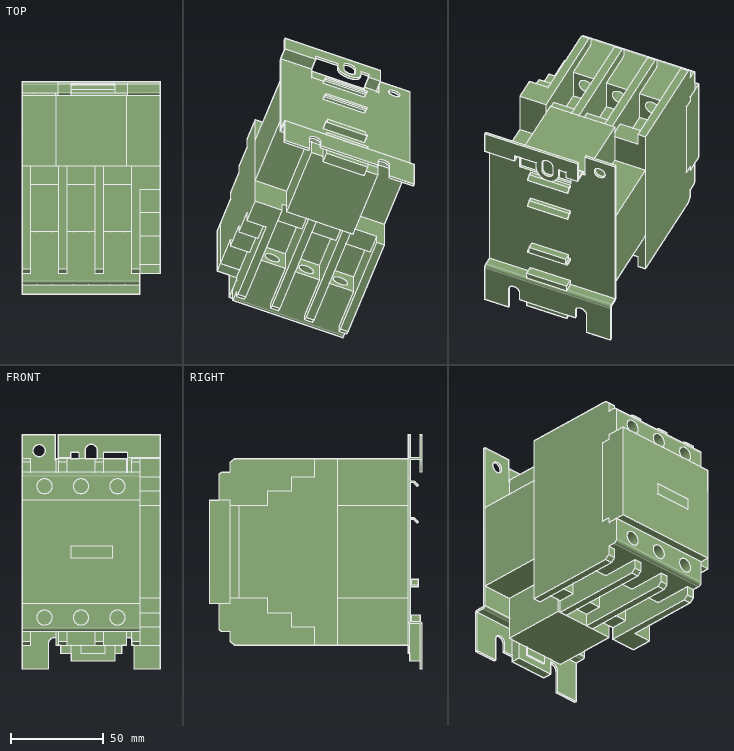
import cadquery as cq
import math


width = 74.93
depth = 115.32
height = 127.0
top = height / 2
mid_x = width / 2

sheet = 1.27
plate_front = 7.62
plate_back = plate_front - sheet
bend_radius = 1.6
step_top = 51.3
arm_width = 18.0
arm_slit = 1.5
arm_hole_x = 9.2
arm_hole_z = 54.9
slot_width = 6.5
arm_hole_diameter = slot_width
window_left = 26.4
window_right = 57.0
window_top = 54.0
window_floor = 40.0
tab_radius = 6.7
tab_center_z = 49.9
tab_slot_top = 58.3
lower_step_top = -37.6
leg_width = 14.3
leg_slot_top = -46.5
finger_bottom = -55.1

clip_left = 26.5
clip_right = 50.4
clip_front = 6.75
clip_bottom = -59.2
tongue_left = 31.9
tongue_right = 44.9
hook_back = 2.0
hook_sheet = 1.0
hook_bend = 4.3
hook_tops = (38.5, 18.6)
ledge_bottom = -18.9
ledge_pad_height = 3.1
ledge_pad_inset = 1.0
step_pad_height = 3.5
pad_front = 5.8
step_pad_back = 1.0

body_half_height = 50.6
base_front = 45.8
base_half_height = 25.1
base_core_width = 38.4

pole_width = 63.8
rib_count = 4
rib_width = 4.5
rib_front = 104.14
rib_chamfer_depth = 2.5
rib_chamfer_height = 2.0
terminal_half_height = 43.2
terminal_front = 110.2
terminal_fillet = 2.0
well_back = 55.9
well_front = 81.3
well_half_height = base_half_height
screw_diameter = 8.2
screw_z = 35.6
side_steps = ((body_half_height, 58.4), (40.6, 70.9), (33.1, 83.8))

cover_half_height = 28.1
cover_flange_back = 99.2
indicator_left = 26.4
indicator_right = 48.9
indicator_bottom = -3.3
indicator_top = 3.2


def block(x_range, depth_range, z_range):
    """Box between two X values, two depths and two Z values."""
    x0, x1 = x_range
    d0, d1 = depth_range
    z0, z1 = z_range
    return cq.Workplane("XY").box(x1 - x0, d1 - d0, z1 - z0, centered=False).translate((x0, -d1, z0))


def symmetric_block(x_range, depth_range, half_height):
    """Box centred on Z = 0."""
    return block(x_range, depth_range, (-half_height, half_height))


def cylinder(x, z, diameter, depth_range):
    """Cylinder along the depth direction."""
    d0, d1 = depth_range
    return cq.Workplane("XZ", origin=(x, -d0, z)).circle(diameter / 2).extrude(d1 - d0)


def side_profile(points, x_range):
    """Outline of (depth, Z) points extruded along X."""
    x0, x1 = x_range
    outline = [(-d, z) for d, z in points]
    return cq.Workplane("YZ", origin=(x0, 0, 0)).polyline(outline).close().extrude(x1 - x0)


def vertical_slot(x, z_bottom_center, z_top_center, slot_size, depth_range):
    """Slot with full-round ends, standing along Z."""
    radius = slot_size / 2
    slot = block((x - radius, x + radius), depth_range, (z_bottom_center, z_top_center))
    for z in (z_bottom_center, z_top_center):
        slot = slot.union(cylinder(x, z, slot_size, depth_range))
    return slot


def make_hook(z_top):
    """Tab that leaves the plate backwards and turns down at 45 degrees."""
    fall = hook_bend - hook_back
    lip = hook_sheet * math.sin(math.radians(45))
    points = [
        (plate_back, z_top),
        (hook_bend, z_top),
        (hook_back, z_top - fall),
        (hook_back + lip, z_top - fall - lip),
        (hook_bend + hook_sheet - lip, z_top - hook_sheet),
        (plate_back, z_top - hook_sheet),
    ]
    return side_profile(points, (clip_left, clip_right))


def make_upper_plate():
    """Rear flange, hanging tab, and the step that joins it to the front plane."""
    right_of_slit = (arm_width + arm_slit, width)
    step_bottom = step_top - sheet
    full_sheet = (0, sheet)

    step = block(right_of_slit, (0, plate_front), (step_bottom, step_top))
    step = step.union(block(right_of_slit, (plate_back, plate_front), (lower_step_top, step_top)))
    step = step.edges("|X and >Z and <Y").fillet(bend_radius)
    step = step.union(block(right_of_slit, full_sheet, (step_bottom, top)))

    step = step.cut(block((window_left, window_right), (0, plate_front), (window_floor, window_top)))

    tab = block((mid_x - tab_radius, mid_x + tab_radius), full_sheet, (tab_center_z, window_top))
    tab = tab.union(cylinder(mid_x, tab_center_z, 2 * tab_radius, full_sheet))
    slot_top_center = tab_slot_top - slot_width / 2
    slot = vertical_slot(mid_x, tab_center_z, slot_top_center, slot_width, full_sheet)
    return step.union(tab).cut(slot)


def make_arm():
    """Upright ear on the left, joined to the front plane below the slit."""
    arm = block((0, arm_width), (plate_back, plate_front), (lower_step_top, top))
    arm = arm.cut(cylinder(arm_hole_x, arm_hole_z, arm_hole_diameter, (plate_back, plate_front)))
    slit_bottom = step_top - bend_radius
    bridge = block((0, arm_width + arm_slit), (plate_back, plate_front), (lower_step_top, slit_bottom))
    return arm.union(bridge)


def make_lower_plate():
    """Lower step and the rear flange with its two slotted legs."""
    step = block((0, width), (0, plate_front), (lower_step_top - sheet, lower_step_top))
    flange = block((0, width), (0, sheet), (-top, lower_step_top))
    strip_z = (lower_step_top, lower_step_top + bend_radius)
    front_strip = block((0, width), (plate_back, plate_front), strip_z)
    lower = step.union(flange).union(front_strip)
    lower = lower.edges("|X").edges(">Y").edges(">Z").fillet(bend_radius)
    lower = lower.edges("|X").edges("<Y").edges("<Z").fillet(bend_radius)
    lower = lower.cut(block((leg_width, width - leg_width), (0, sheet), (-top, finger_bottom)))
    leg_slot_x = leg_width + slot_width / 2
    slot_top_center = leg_slot_top - slot_width / 2
    for x in (leg_slot_x, width - leg_slot_x):
        lower = lower.cut(vertical_slot(x, -top, slot_top_center, slot_width, (0, sheet)))
    return lower


def make_clip():
    """Block, tongue, pads and hooks that hold a mounting rail."""
    clip_x = (clip_left, clip_right)
    clip = block(clip_x, (sheet, clip_front), (clip_bottom, lower_step_top - sheet))
    clip = clip.union(
        block((tongue_left, tongue_right), (clip_front, plate_front), (finger_bottom, lower_step_top))
    )
    step_pad_top = lower_step_top + step_pad_height
    clip = clip.union(block(clip_x, (step_pad_back, pad_front), (lower_step_top - sheet / 2, step_pad_top)))

    ledge_top = ledge_bottom + hook_sheet
    clip = clip.union(block(clip_x, (hook_back, plate_back), (ledge_bottom, ledge_top)))
    pad_x = (clip_left + ledge_pad_inset, clip_right - ledge_pad_inset)
    clip = clip.union(block(pad_x, (hook_back, pad_front), (ledge_top, ledge_top + ledge_pad_height)))
    return clip


def make_plate():
    plate = make_upper_plate().union(make_arm()).union(make_lower_plate()).union(make_clip())
    for z_top in hook_tops:
        plate = plate.union(make_hook(z_top))
    return plate


def make_base():
    """Full-width middle with a taller, narrower core."""
    depth_range = (plate_front, base_front)
    core_x = (mid_x - base_core_width / 2, mid_x + base_core_width / 2)
    middle = symmetric_block((0, width), depth_range, base_half_height)
    return middle.union(symmetric_block(core_x, depth_range, body_half_height))


def make_rib(x):
    """Barrier wall with chamfered front corners."""
    half = body_half_height
    chamfer_start = rib_front - rib_chamfer_depth
    points = [
        (base_front, -half),
        (chamfer_start, -half),
        (rib_front, rib_chamfer_height - half),
        (rib_front, half - rib_chamfer_height),
        (chamfer_start, half),
        (base_front, half),
    ]
    return side_profile(points, (x, x + rib_width))


def make_cover_blank():
    """Cover without its window; the housing is recessed by the same shape."""
    flange = symmetric_block((0, width), (cover_flange_back, rib_front), base_half_height)
    return flange.union(symmetric_block((0, pole_width), (rib_front, depth), cover_half_height))


def make_indicator():
    """Post that fills the cover window, flush with the cover front."""
    x_range = (indicator_left, indicator_right)
    return block(x_range, (cover_flange_back, depth), (indicator_bottom, indicator_top))


def make_housing():
    rib_pitch = (pole_width - rib_width) / (rib_count - 1)
    housing = symmetric_block((0, pole_width), (base_front, terminal_front), terminal_half_height)
    housing = housing.edges("|X and <Y").fillet(terminal_fillet)

    for side in (1, -1):
        well_z = sorted((side * well_half_height, side * terminal_half_height))
        housing = housing.cut(block((0, pole_width), (well_back, well_front), well_z))
        for pole in range(rib_count - 1):
            pole_x = (pole + 0.5) * rib_pitch + rib_width / 2
            screw = cylinder(pole_x, side * screw_z, screw_diameter, (well_front, terminal_front))
            housing = housing.cut(screw)

    for index in range(rib_count):
        housing = housing.union(make_rib(index * rib_pitch))

    for half_height, front in side_steps:
        side_x = (pole_width - rib_width, width)
        housing = housing.union(symmetric_block(side_x, (base_front, front), half_height))
    core_x = (pole_width, width)
    housing = housing.union(symmetric_block(core_x, (base_front, cover_flange_back), base_half_height))

    return housing.cut(make_cover_blank()).union(make_indicator())


plate = make_plate()
base = make_base()
housing = make_housing()
cover = make_cover_blank().cut(make_indicator())

result = cq.Compound.makeCompound([body.solids().val() for body in (plate, base, housing, cover)])